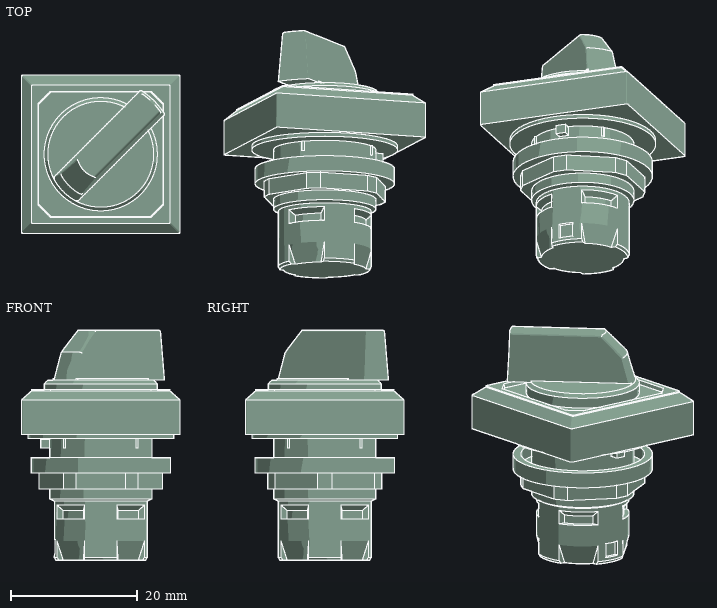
import math

import cadquery as cq


shoulder_bottom_z = 9.33
shoulder_top_z = 9.7
nut_bottom_z = 11.25
nut_hex_top_z = 13.75
nut_recess_floor_z = 14.2
nut_top_z = 16.2
collar_bottom_z = 17.7
tab_top_z = 19.1
gasket_bottom_z = 19.2
bezel_bottom_z = 19.82
bezel_slope_z = 25.3
bezel_lip_z = 26.7
bezel_top_z = 26.9
dial_top_z = 28.42
handle_kink_z = 32.8
handle_top_z = 36.3

socket_diameter = 14.65
barrel_diameter = 16.15
gasket_diameter = 23.0
end_chamfer_height = 0.47
end_chamfer_width = 0.25
collar_size = 11.75
tab_width = 1.6
tab_reach = 9.47

core_diameter = 13.03
window_bottom_z = 6.55
window_inner_top_z = 7.85
window_outer_top_z = 8.7
ramp_top_z = 3.05
opening_inner_distance = 6.17
opening_inner_half_width = 2.32
opening_outer_distance = 6.68
opening_outer_half_width = 3.1
opening_count = 4
first_opening_angle = 45.0
pocket_size = 2.3
pocket_bottom_z = 0.98
pocket_floor_distance = 6.68

bezel_size = 25.0
bezel_top_size = 21.85
bezel_corner_radius = 0.3
recess_size = 19.85
recess_corner = 2.0
recess_depth = 0.65
recess_draft = 12.0
dial_diameter = 17.85
dial_chamfer = 0.58
dial_face_diameter = dial_diameter - 2 * dial_chamfer

handle_angle = 45.0
handle_base_half_width = 2.7
handle_top_half_width = 2.05
nose_base_radius = dial_face_diameter / 2
nose_kink_radius = 7.05
nose_top_radius = 3.7
tail_base_radius = 11.9
tail_top_radius = 11.55
handle_edge_radius = 0.45
tail_edge_radius = 0.18
root_fillet_radius = 0.25

nut_flange_diameter = 22.0
nut_recess_diameter = 19.5
nut_bore_diameter = barrel_diameter
hex_across_flats = 18.0
hex_across_cut_corners = 19.5


def disc(diameter, bottom, top):
    return cq.Workplane("XY").workplane(offset=bottom).circle(diameter / 2).extrude(top - bottom)


def turned(points):
    """Solid of revolution about Z from (radius, height) points."""
    return cq.Workplane("XZ").polyline(points).close().revolve(360, (0, 0, 0), (0, 1, 0))


def turn_about_z(shape, angle):
    return shape.rotate((0, 0, 0), (0, 0, 1), angle)


def make_barrel():
    socket_radius = socket_diameter / 2
    barrel_radius = barrel_diameter / 2
    barrel = turned([
        (0, 0),
        (socket_radius - end_chamfer_width, 0),
        (socket_radius, end_chamfer_height),
        (socket_radius, shoulder_bottom_z),
        (barrel_radius, shoulder_top_z),
        (barrel_radius, gasket_bottom_z),
        (0, gasket_bottom_z),
    ])
    gasket = disc(gasket_diameter, gasket_bottom_z, bezel_bottom_z)
    collar_plane = cq.Workplane("XY").workplane(offset=collar_bottom_z)
    collar = collar_plane.rect(collar_size, collar_size).extrude(gasket_bottom_z - collar_bottom_z)
    tab = (
        collar_plane.center(-tab_reach / 2, 0).rect(tab_reach, tab_width)
        .extrude(tab_top_z - collar_bottom_z)
    )
    return barrel.union(gasket).union(collar).union(tab)


def make_opening_wedge():
    """Prism towards +X whose side walls spread outwards, from inside the core to past the barrel."""
    spread = (opening_outer_half_width - opening_inner_half_width) / (
        opening_outer_distance - opening_inner_distance)

    def half_width(distance):
        return opening_inner_half_width + spread * (distance - opening_inner_distance)

    near = core_diameter / 2 * 0.8
    far = barrel_diameter / 2
    return (
        cq.Workplane("XY")
        .polyline([
            (near, -half_width(near)),
            (far, -half_width(far)),
            (far, half_width(far)),
            (near, half_width(near)),
        ])
        .close().extrude(shoulder_bottom_z)
    )


def make_window_cutter():
    """Window towards +X with a cylindrical floor, a flat sill and a conical top."""
    inner = core_diameter / 2
    outer = socket_diameter / 2
    ring = turned([
        (inner, window_bottom_z),
        (outer, window_bottom_z),
        (outer, window_outer_top_z),
        (inner, window_inner_top_z),
    ])
    return make_opening_wedge().intersect(ring)


def make_ramp_cutter():
    """Conical ramp towards +X that runs inwards to the bottom end."""
    inner = core_diameter / 2
    outer = socket_diameter / 2
    ring = turned([(inner, 0), (outer, 0), (outer, ramp_top_z)])
    return make_opening_wedge().intersect(ring)


def make_pocket_cutter():
    """Square, flat-bottomed pocket on the -X side."""
    outer = socket_diameter / 2
    pocket = cq.Workplane("XY").box(
        outer - pocket_floor_distance, pocket_size, pocket_size, centered=(False, True, False))
    return pocket.translate((-outer, 0, pocket_bottom_z))


def rounded_square(size, z):
    sketch = cq.Sketch().rect(size, size).vertices().fillet(bezel_corner_radius)
    return sketch.moved(cq.Location(cq.Vector(0, 0, z)))


def make_bezel():
    wide_bottom = rounded_square(bezel_size, bezel_bottom_z)
    wide_top = rounded_square(bezel_size, bezel_slope_z)
    narrow = rounded_square(bezel_top_size, bezel_lip_z)
    block = cq.Workplane("XY").placeSketch(wide_bottom).extrude(bezel_slope_z - bezel_bottom_z)
    slope = cq.Workplane("XY").placeSketch(wide_top, narrow).loft()
    lip = cq.Workplane("XY").placeSketch(narrow).extrude(bezel_top_z - bezel_lip_z)
    recess_outline = cq.Sketch().rect(recess_size, recess_size).vertices().chamfer(recess_corner)
    recess = (
        cq.Workplane("XY").workplane(offset=bezel_top_z).placeSketch(recess_outline)
        .extrude(-recess_depth, taper=recess_draft)
    )
    return block.union(slope).union(lip).cut(recess)


def make_dial():
    return disc(dial_diameter, bezel_bottom_z, dial_top_z).faces(">Z").edges().chamfer(dial_chamfer)


def make_grip():
    """Tapered bar along X with a kinked conical nose at -X and a conical tail at +X."""
    bar_profile = [
        (-handle_base_half_width, dial_top_z),
        (handle_base_half_width, dial_top_z),
        (handle_top_half_width, handle_top_z),
        (-handle_top_half_width, handle_top_z),
    ]
    bar = cq.Workplane("YZ").polyline(bar_profile).close().extrude(tail_base_radius, both=True)
    nose = turned([
        (0, dial_top_z),
        (nose_base_radius, dial_top_z),
        (nose_kink_radius, handle_kink_z),
        (nose_top_radius, handle_top_z),
        (0, handle_top_z),
    ])
    tail = turned([
        (0, dial_top_z),
        (tail_base_radius, dial_top_z),
        (tail_top_radius, handle_top_z),
        (0, handle_top_z),
    ])
    tail_side = (
        cq.Workplane("XY").workplane(offset=dial_top_z)
        .center(tail_base_radius / 2, 0).rect(tail_base_radius, 2 * tail_base_radius)
        .extrude(handle_top_z - dial_top_z)
    )
    return bar.intersect(nose.union(tail.intersect(tail_side)))


def round_grip_edges(grip):
    """Round the long top edges and nose edges, then the smaller edges of the tail."""
    reach = 2 * tail_base_radius
    above_base = dial_top_z + 0.35
    upper = cq.selectors.BoxSelector((-reach, -reach, above_base), (reach, reach, 2 * handle_top_z))
    grip = grip.edges("%LINE or %HYPERBOLA").edges(upper).fillet(handle_edge_radius)
    tail = cq.selectors.BoxSelector((nose_base_radius, -reach, above_base), (reach, reach, 2 * handle_top_z))
    return grip.edges(tail).edges("not %LINE").fillet(tail_edge_radius)


def make_root_fillets():
    """Concave fillets along both long sides of the grip, where it meets the dial."""
    foot = handle_base_half_width + root_fillet_radius
    fillet_top_z = dial_top_z + root_fillet_radius
    bend = root_fillet_radius * (1 - math.sqrt(0.5))
    strips = (
        cq.Workplane("YZ")
        .moveTo(-foot, dial_top_z)
        .lineTo(foot, dial_top_z)
        .threePointArc(
            (handle_base_half_width + bend, dial_top_z + bend),
            (handle_base_half_width, fillet_top_z),
        )
        .lineTo(-handle_base_half_width, fillet_top_z)
        .threePointArc(
            (-handle_base_half_width - bend, dial_top_z + bend),
            (-foot, dial_top_z),
        )
        .close().extrude(nose_base_radius, both=True)
    )
    inside_grip = cq.Workplane("XY").workplane(offset=dial_top_z).rect(
        2 * dial_diameter, 2 * (handle_base_half_width - root_fillet_radius)).extrude(root_fillet_radius)
    return strips.intersect(disc(dial_face_diameter, dial_top_z, fillet_top_z)).cut(inside_grip)


def make_handle():
    handle = round_grip_edges(make_grip()).union(make_root_fillets())
    return turn_about_z(handle, handle_angle)


def make_housing():
    body = make_barrel().union(make_bezel()).union(make_dial()).union(make_handle())
    for cutter in (make_window_cutter(), make_ramp_cutter()):
        for index in range(opening_count):
            angle = first_opening_angle + index * 360 / opening_count
            body = body.cut(turn_about_z(cutter, angle))
    return body.cut(make_pocket_cutter())


def hexagon(across_flats):
    """Hexagonal prism of the nut, with two corners on the X axis."""
    across_corners = across_flats / math.cos(math.pi / 6)
    return (
        cq.Workplane("XY").workplane(offset=nut_bottom_z)
        .polygon(6, across_corners).extrude(nut_hex_top_z - nut_bottom_z)
    )


def make_nut():
    """Round flange over a hexagon with flat-cut corners, bored to fit the barrel."""
    flange = disc(nut_flange_diameter, nut_hex_top_z, nut_top_z)
    corner_cut = turn_about_z(hexagon(hex_across_cut_corners), 30)
    return (
        hexagon(hex_across_flats).intersect(corner_cut).union(flange)
        .cut(disc(nut_bore_diameter, nut_bottom_z, nut_top_z))
        .cut(disc(nut_recess_diameter, nut_recess_floor_z, nut_top_z))
    )


housing = make_housing()
nut = make_nut()

result = cq.Compound.makeCompound([housing.val(), nut.val()])